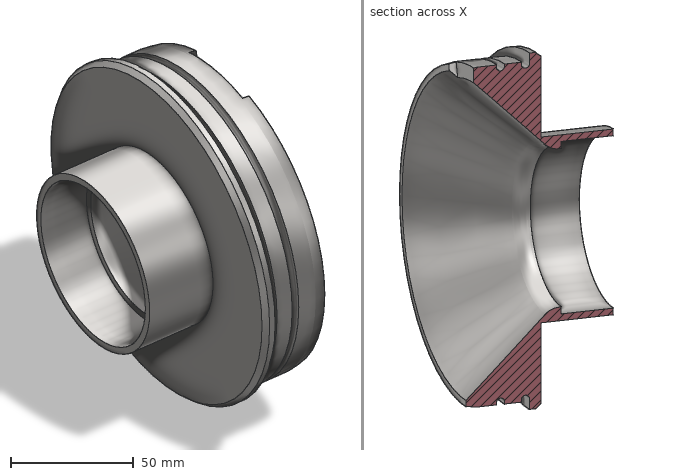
import cadquery as cq
import math

tube_length = 31.8
overall_length = 65.0
back_y = overall_length - tube_length
flange_thickness = 5.1
front_groove_end = 8.6
rear_groove_start = 16.2
rear_groove_end = 19.5
taper_start = 28.2

flange_radius = 151.4 / 2
body_radius = 144.4 / 2
tube_radius = 79.0 / 2
groove_radius = 69.5
back_radius = 71.5
flange_chamfer_length = 2.4
flange_chamfer_depth = 2.0

socket_radius = 73.0 / 2
throat_radius = 67.0 / 2
socket_depth = 22.9
throat_length = 1.2
lip_radius = 8.5
mouth_radius = 68.7

notch_depth = 3.3
notch_angle = 30


def lip_and_cone_points():
    """Return the middle and end of the lip arc, tangent to the cone that reaches the mouth."""
    lip_start = throat_length + socket_depth - tube_length
    center_radius = throat_radius + lip_radius
    radial_run = mouth_radius - center_radius
    axial_run = back_y - lip_start
    cone_angle = math.atan2(radial_run, axial_run) + math.asin(
        lip_radius / math.hypot(radial_run, axial_run)
    )

    def lip_point(angle):
        return (
            center_radius - lip_radius * math.cos(angle),
            lip_start + lip_radius * math.sin(angle),
        )

    return lip_point(cone_angle / 2), lip_point(cone_angle)


def make_body():
    """Revolve the half section (radius, Y) around the Y axis."""
    socket_floor = socket_depth - tube_length
    lip_middle, lip_end = lip_and_cone_points()
    section = (
        cq.Workplane("XY")
        .moveTo(socket_radius, -tube_length)
        .lineTo(tube_radius, -tube_length)
        .lineTo(tube_radius, 0)
        .lineTo(flange_radius - flange_chamfer_depth, 0)
        .lineTo(flange_radius, flange_chamfer_length)
        .lineTo(flange_radius, flange_thickness)
        .lineTo(body_radius, flange_thickness)
        .lineTo(body_radius, taper_start)
        .lineTo(back_radius, back_y)
        .lineTo(mouth_radius, back_y)
        .lineTo(*lip_end)
        .threePointArc(lip_middle, (throat_radius, socket_floor + throat_length))
        .lineTo(throat_radius, socket_floor)
        .lineTo(socket_radius, socket_floor)
        .close()
    )
    return section.revolve(360, (0, 0, 0), (0, 1, 0))


def make_groove(start, end):
    """Ring-shaped cutter with a full-round floor."""
    middle = (start + end) / 2
    corner_radius = groove_radius + (end - start) / 2
    section = (
        cq.Workplane("XY")
        .moveTo(body_radius, start)
        .lineTo(corner_radius, start)
        .threePointArc((groove_radius, middle), (corner_radius, end))
        .lineTo(body_radius, end)
        .close()
    )
    return section.revolve(360, (0, 0, 0), (0, 1, 0))


def make_notch():
    """Wedge with radial sides, centred on +Z at the rear rim."""
    half_width = flange_radius * math.tan(math.radians(notch_angle / 2))
    return (
        cq.Workplane("XZ", origin=(0, back_y, 0))
        .polyline([(0, 0), (half_width, flange_radius), (-half_width, flange_radius)])
        .close()
        .extrude(notch_depth)
    )


result = make_body()
for groove_start, groove_end in (
    (flange_thickness, front_groove_end),
    (rear_groove_start, rear_groove_end),
):
    result = result.cut(make_groove(groove_start, groove_end))
result = result.cut(make_notch())